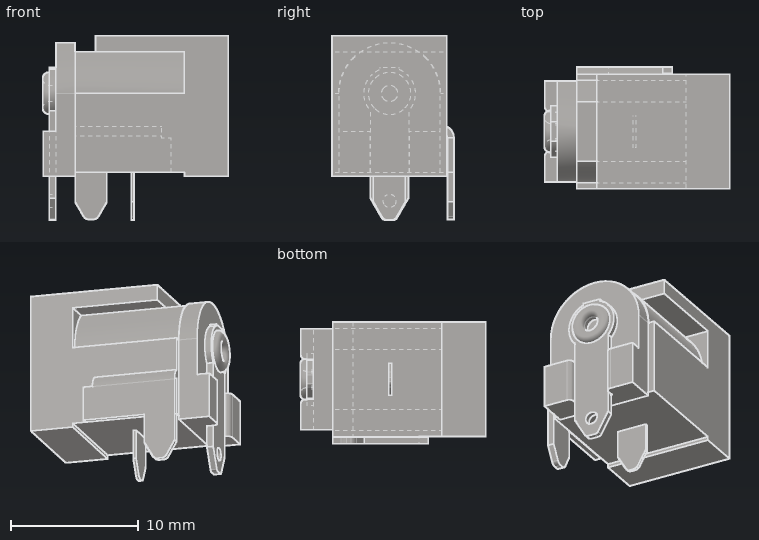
import cadquery as cq
import math


housing_length = 12.0
housing_width = 8.98
housing_height = 11.0
foot_start_x = 8.55
foot_height = 0.3
cover_start_x = 1.6
cover_thickness = 1.25
cover_bottom_z = housing_height - cover_thickness
axis_z = 6.5
barrel_radius = 4.0

flange_radius = 3.96
flange_thickness = 1.5
guard_depth = 1.0
guard_height = 3.53
guard_slot_width = 3.1
guard_edge_radius = 0.4

sheet_thickness = 0.53
taper_angle = math.radians(30)

rear_leg_width = 3.0
rear_taper_z = -1.7
rear_tip_z = -3.42
rear_tip_radius = 0.3
rear_eye_radius = 2.02
rear_tab_width = 1.5
rear_tab_top_z = axis_z + 2.03
solder_hole_diameter = 1.02
solder_hole_z = -1.9

narrow_leg_width = 2.5
narrow_taper_z = -2.0
narrow_tip_radius = 0.5

side_outer_y = 5.06
side_tip_z = -3.38
side_plate_length = 7.5
side_bend_length = 6.75
side_bend_radius = 1.0
side_top_z = 4.0

middle_leg_x = 4.38
middle_tip_z = rear_tip_z
middle_leg_thickness = 0.25

rivet_hole_diameter = 1.27
rivet_ring_radius = 0.51

flange_rear_x = -flange_thickness
terminal_rear_x = flange_rear_x - sheet_thickness
join_overlap = 0.2


def box(x_range, y_range, z_range):
    """Axis-aligned box from (low, high) pairs."""
    size = [high - low for low, high in (x_range, y_range, z_range)]
    return cq.Workplane("XY").box(*size, centered=False).translate(
        (x_range[0], y_range[0], z_range[0])
    )


def arch(radius, start_x, length):
    """Round-topped prism along X, standing on Z = 0."""
    return (
        cq.Workplane("YZ", origin=(start_x, 0, 0))
        .moveTo(-radius, 0)
        .lineTo(-radius, axis_z)
        .threePointArc((0, axis_z + radius), (radius, axis_z))
        .lineTo(radius, 0)
        .close()
        .extrude(length)
    )


def leg(plane, thickness_axis, thickness, width, heights, tip_radius):
    """Flat solder leg centred on the plane, tapering to a rounded tip.

    The heights are the tip, the start of the taper and the top.
    """
    tip_z, taper_z, top_z = heights
    half_width = width / 2
    half_tip = half_width - (taper_z - tip_z) * math.tan(taper_angle)
    outline = [
        (-half_width, top_z),
        (-half_width, taper_z),
        (-half_tip, tip_z),
        (half_tip, tip_z),
        (half_width, taper_z),
        (half_width, top_z),
    ]
    blank = plane.polyline(outline).close().extrude(thickness)
    return blank.faces("<Z").edges("|" + thickness_axis).fillet(tip_radius)


def disc(plane, center_z, radius):
    """Round piece of sheet thickness on the symmetry plane."""
    return plane.center(0, center_z).circle(radius).extrude(sheet_thickness)


def make_housing():
    half_width = housing_width / 2
    across = (-half_width, half_width)
    housing = box((0, housing_length), across, (0, housing_height))
    upper_space = box((0, foot_start_x), across, (axis_z, cover_bottom_z))
    upper_space = upper_space.cut(arch(barrel_radius, 0, foot_start_x))
    cover_setback = box((0, cover_start_x), across, (cover_bottom_z, housing_height))
    under_clearance = box((0, foot_start_x), across, (0, foot_height))
    return housing.cut(upper_space).cut(cover_setback).cut(under_clearance)


def make_flange():
    flange = arch(flange_radius, flange_rear_x, flange_thickness)
    guard_rear_x = flange_rear_x - guard_depth
    inner_y = guard_slot_width / 2
    guard = box((guard_rear_x, flange_rear_x), (inner_y, flange_radius), (0, guard_height))
    guard = guard.edges("|Z and <X and <Y").fillet(guard_edge_radius)
    return flange.union(guard).union(guard.mirror("XZ"))


def make_rear_terminal():
    plane = cq.Workplane("YZ", origin=(terminal_rear_x, 0, 0))
    heights = (rear_tip_z, rear_taper_z, axis_z)
    terminal = leg(plane, "X", sheet_thickness, rear_leg_width, heights, rear_tip_radius)
    eye = disc(plane, axis_z, rear_eye_radius)
    half_tab = rear_tab_width / 2
    tab = box((terminal_rear_x, flange_rear_x), (-half_tab, half_tab), (axis_z, rear_tab_top_z))
    solder_hole = disc(plane, solder_hole_z, solder_hole_diameter / 2)
    rivet_hole = disc(plane, axis_z, rivet_hole_diameter / 2)
    return terminal.union(eye).union(tab).cut(solder_hole).cut(rivet_hole)


def make_rivet():
    """Rolled rivet head: a half-round ring around an open centre."""
    inner = rivet_hole_diameter / 2
    crest = inner + rivet_ring_radius
    outer = crest + rivet_ring_radius
    return (
        cq.Workplane("XY", origin=(terminal_rear_x, 0, axis_z))
        .moveTo(0, inner)
        .threePointArc((-rivet_ring_radius, crest), (0, outer))
        .close()
        .revolve(360, (0, 0, 0), (1, 0, 0))
    )


def make_side_terminal():
    """Plate beside the housing, bent over at the top into the housing wall."""
    inner_y = side_outer_y - sheet_thickness
    bend_z = side_top_z - side_bend_radius
    bend_y = side_outer_y - side_bend_radius
    root_y = bend_y - join_overlap
    inner_top_z = side_top_z - sheet_thickness
    plate = box((0, side_plate_length), (inner_y, side_outer_y), (foot_height, bend_z))
    bend = (
        cq.Workplane("YZ")
        .moveTo(side_outer_y, bend_z)
        .radiusArc((bend_y, side_top_z), -side_bend_radius)
        .lineTo(root_y, side_top_z)
        .lineTo(root_y, inner_top_z)
        .lineTo(bend_y, inner_top_z)
        .radiusArc((inner_y, bend_z), side_bend_radius - sheet_thickness)
        .close()
        .extrude(side_bend_length)
    )
    plane = cq.Workplane("XZ", origin=(narrow_leg_width / 2, side_outer_y, 0))
    heights = (side_tip_z, narrow_taper_z, bend_z)
    side_leg = leg(plane, "Y", sheet_thickness, narrow_leg_width, heights, narrow_tip_radius)
    return plate.union(bend).union(side_leg)


def make_middle_leg():
    plane = cq.Workplane("YZ", origin=(middle_leg_x, 0, 0))
    heights = (middle_tip_z, narrow_taper_z, foot_height + join_overlap)
    return leg(plane, "X", middle_leg_thickness, narrow_leg_width, heights, narrow_tip_radius)


result = (
    make_housing()
    .union(make_flange())
    .union(make_rear_terminal())
    .union(make_rivet())
    .union(make_side_terminal())
    .union(make_middle_leg())
)